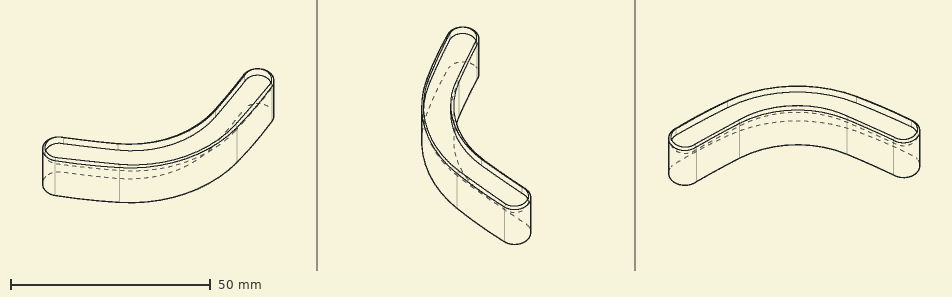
import cadquery as cq
import math

length = 62.9
height = 13.85

shoulder_height = 13.1
slope_angle = 45.0
pocket_depth = 2.5

end_tip_x = -6.15
outer_concave_side = [(2.0, 0), (-1.8, 13.45), (-9.25, 24.65)]
outer_convex_side = [(10.05, 0), (5.85, 16.15), (-3.0, 29.85)]
outer_end_tip = (end_tip_x, length / 2)

rim_width = 0.6
pocket_concave_side = [(2.8, 0), (-1.15, 13.45), (-8.75, 24.9)]
pocket_convex_side = [(9.6, 0), (5.15, 16.15), (-3.45, 29.5)]
pocket_end_tip = (end_tip_x, length / 2 - rim_width)


def mirrored(point):
    """Return the matching point on the -Y half."""
    return (point[0], -point[1])


def end_arc_middle(middle, joint, end):
    """Midpoint of the arc from joint to end that is tangent to the middle arc."""
    joint_direction = 2 * math.atan2(joint[1] - middle[1], joint[0] - middle[0]) - math.pi / 2
    chord_x = end[0] - joint[0]
    chord_y = end[1] - joint[1]
    deflection = math.atan2(chord_y, chord_x) - joint_direction
    bulge = math.tan(deflection / 2) / 2
    return (
        (joint[0] + end[0]) / 2 + bulge * chord_y,
        (joint[1] + end[1]) / 2 - bulge * chord_x,
    )


def crescent(concave_side, convex_side, end_tip, z):
    """Closed outline of two long curved sides joined by round ends."""
    concave_middle, concave_joint, concave_end = concave_side
    convex_middle, convex_joint, convex_end = convex_side
    concave_bend = end_arc_middle(*concave_side)
    convex_bend = end_arc_middle(*convex_side)
    return (
        cq.Workplane("XY", origin=(0, 0, z))
        .moveTo(*mirrored(concave_end))
        .threePointArc(mirrored(concave_bend), mirrored(concave_joint))
        .threePointArc(concave_middle, concave_joint)
        .threePointArc(concave_bend, concave_end)
        .threePointArc(end_tip, convex_end)
        .threePointArc(convex_bend, convex_joint)
        .threePointArc(convex_middle, mirrored(convex_joint))
        .threePointArc(mirrored(convex_bend), mirrored(convex_end))
        .threePointArc(mirrored(end_tip), mirrored(concave_end))
        .close()
    )


def body():
    """Upright wall with the sloping rim on top."""
    outside = (outer_concave_side, outer_convex_side, outer_end_tip)
    wall = crescent(*outside, 0).extrude(shoulder_height)
    slope = crescent(*outside, shoulder_height).extrude(height - shoulder_height, taper=slope_angle)
    return wall.union(slope)


def pocket():
    """Flat-bottomed recess inside the rim."""
    outline = crescent(
        pocket_concave_side, pocket_convex_side, pocket_end_tip, height - pocket_depth
    )
    return outline.extrude(pocket_depth)


result = body().cut(pocket())